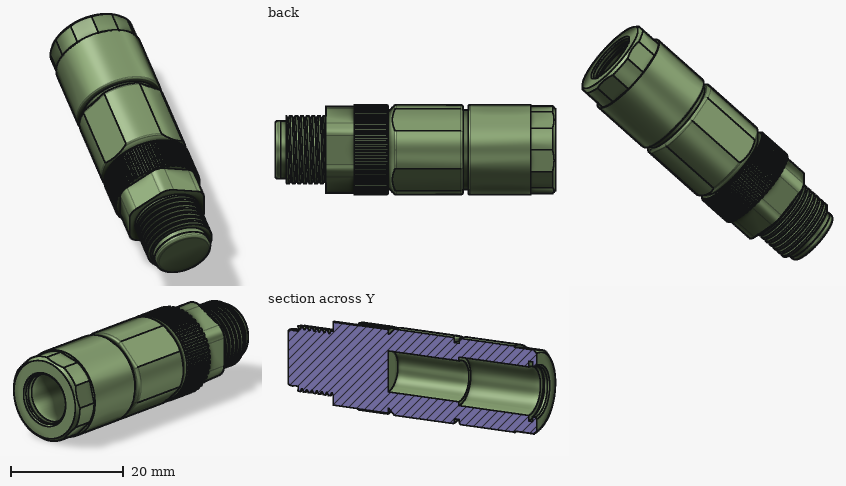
import cadquery as cq
import math

length = 49.8
cap_end = 4.45
sleeve_end = 15.55
grip_start = 16.45
grip_end = 29.75
knurl_end = 35.8
hex_end = 40.8
thread_end = 47.8

outer_radius = 7.995
wrench_flat = 15.0

cap_radius = 7.75
cap_chamfer = 0.6
cap_flats = 6
cap_flat_angle = 45.0

sleeve_fillet = 0.35
neck_radius = 7.05

grip_flats = 4
grip_flat_angle = 45.0
grip_fillet = 0.5
grip_tip_radius = 6.75
grip_cone_length = outer_radius - grip_tip_radius
cone_blend = 0.4

tooth_count = 48
tooth_depth = 0.25
tooth_chamfer = 0.25
tooth_pitch_angle = 360.0 / tooth_count
tip_angle = 0.35 * tooth_pitch_angle
root_angle = 0.35 * tooth_pitch_angle

hex_across_flats = 14.0
hex_corner_fillet = 2.5

thread_radius = 6.0
thread_pitch = 1.0
groove_width = 0.6
groove_depth = groove_width / 2 * math.tan(math.radians(60))
thread_lead_in = 30.0
nose_neck_radius = 5.15
nose_rim_start = 48.8
nose_radius = 5.2
nose_fillet = 0.5

entry_radius = 4.65
entry_chamfer = 0.3
ring_groove_start = 0.9
ring_groove_end = 1.6
ring_groove_radius = 5.5
cable_bore_radius = 4.45
core_bore_radius = 3.75


def cylinder(start, end, radius):
    """Round bar along X between two stations."""
    return cq.Workplane("YZ", origin=(start, 0, 0)).circle(radius).extrude(end - start)


def cut_flats(body, start, end, count, first_angle):
    """Mill evenly spaced wrench flats along a round body."""
    apothem = wrench_flat / 2
    block = (
        cq.Workplane("XY")
        .box(end - start, outer_radius, 2 * outer_radius, centered=(False, False, True))
        .translate((start, apothem, 0))
    )
    for i in range(count):
        angle = first_angle + i * 360.0 / count
        body = body.cut(block.rotate((0, 0, 0), (1, 0, 0), angle))
    return body


def make_cap():
    cap = cylinder(0, cap_end, cap_radius).faces("<X").chamfer(cap_chamfer)
    return cut_flats(cap, 0, cap_end, cap_flats, cap_flat_angle)


def make_sleeve():
    return cylinder(cap_end, sleeve_end, outer_radius).faces(">X").edges().fillet(sleeve_fillet)


def make_grip():
    """Round body with four flats, a rounded rear rim and a blended 45 degree cone in front."""
    cone_start = grip_end - grip_cone_length
    body = (
        cq.Workplane("XY")
        .moveTo(grip_start, 0)
        .lineTo(grip_start, outer_radius)
        .lineTo(cone_start, outer_radius)
        .lineTo(grip_end, grip_tip_radius)
        .lineTo(grip_end, 0)
        .close()
        .revolve(360, (0, 0, 0), (1, 0, 0))
    )
    cone_rim = cq.selectors.BoxSelector(
        (cone_start - 0.05, -outer_radius, -outer_radius),
        (cone_start + 0.05, outer_radius, outer_radius),
    )
    body = body.edges(cone_rim).fillet(cone_blend)
    body = cut_flats(body, grip_start, grip_end, grip_flats, grip_flat_angle)
    return body.faces("<X").edges().fillet(grip_fillet)


def make_knurl():
    """Ring of straight trapezoidal teeth, with a gap centred on each of the Y and Z axes."""
    root_radius = outer_radius - tooth_depth
    outline = []
    for i in range(tooth_count):
        tooth = (i + 0.5) * tooth_pitch_angle
        half_base = (tooth_pitch_angle - root_angle) / 2
        corners = (
            (root_radius, tooth - half_base),
            (outer_radius, tooth - tip_angle / 2),
            (outer_radius, tooth + tip_angle / 2),
            (root_radius, tooth + half_base),
        )
        for radius, angle in corners:
            theta = math.radians(angle)
            outline.append((radius * math.cos(theta), radius * math.sin(theta)))
    ring = (
        cq.Workplane("YZ", origin=(grip_end, 0, 0))
        .polyline(outline)
        .close()
        .extrude(knurl_end - grip_end)
    )
    envelope = cylinder(grip_end, knurl_end, outer_radius).faces("<X").chamfer(tooth_chamfer)
    return ring.intersect(envelope)


def make_hexagon():
    """Hexagon with two flats facing +Y and -Y and rounded corners."""
    across_corners = hex_across_flats / math.cos(math.radians(30))
    return (
        cq.Workplane("YZ", origin=(knurl_end, 0, 0))
        .polygon(6, across_corners)
        .extrude(hex_end - knurl_end)
        .rotate((0, 0, 0), (1, 0, 0), 30)
        .edges("|X")
        .fillet(hex_corner_fillet)
    )


def make_thread():
    """Right-handed 60 degree V thread, cut along Z in an over-long blank, trimmed, then laid along X."""
    thread_length = thread_end - hex_end
    overshoot = 0.1
    depth_ratio = (groove_depth + overshoot) / groove_depth
    lead_in_advance = thread_pitch * thread_lead_in / 360
    half_mouth = groove_width / 2 * depth_ratio
    path = cq.Wire.makeHelix(thread_pitch, thread_length + thread_pitch, thread_radius)
    groove = (
        cq.Workplane("XZ")
        .moveTo(thread_radius - groove_depth, 0)
        .lineTo(thread_radius + overshoot, half_mouth)
        .lineTo(thread_radius + overshoot, -half_mouth)
        .close()
        .sweep(cq.Workplane(path), isFrenet=True)
        .rotate((0, 0, 0), (0, 0, 1), thread_lead_in - 90)
        .translate((0, 0, lead_in_advance))
    )
    blank = (
        cq.Workplane("XY", origin=(0, 0, -thread_pitch))
        .circle(thread_radius)
        .extrude(thread_length + 4 * thread_pitch)
    )
    trim = cq.Workplane("XY").circle(outer_radius).extrude(thread_length)
    stud = blank.cut(groove).intersect(trim)
    return stud.rotate((0, 0, 0), (0, 1, 0), 90).translate((hex_end, 0, 0))


def make_nose():
    """Plain spigot with a slightly raised, rounded rim."""
    rim = cylinder(nose_rim_start, length, nose_radius).faces(">X").edges().fillet(nose_fillet)
    return cylinder(thread_end, nose_rim_start, nose_neck_radius).union(rim)


def make_cable_entry():
    """Blind stepped bore: chamfered lip, ring groove, cable bore and narrower core bore."""
    mouth = (
        cq.Workplane("YZ")
        .circle(entry_radius + entry_chamfer)
        .extrude(entry_chamfer, taper=45)
    )
    return (
        mouth.union(cylinder(0, ring_groove_start, entry_radius))
        .union(cylinder(ring_groove_start, ring_groove_end, ring_groove_radius))
        .union(cylinder(ring_groove_end, sleeve_end, cable_bore_radius))
        .union(cylinder(sleeve_end, grip_end, core_bore_radius))
    )


result = (
    make_cap()
    .union(make_sleeve())
    .union(cylinder(sleeve_end, grip_start, neck_radius))
    .union(make_grip())
    .union(make_knurl())
    .union(make_hexagon())
    .union(make_thread())
    .union(make_nose())
    .cut(make_cable_entry())
)